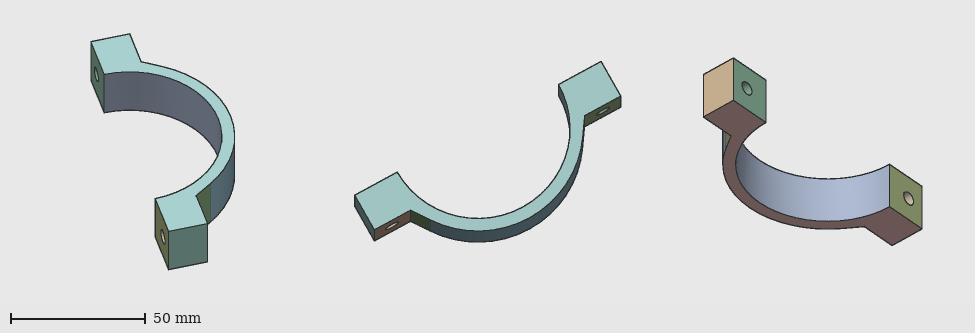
import cadquery as cq
import math

length = 104.8
width = 20.0
outer_radius = 39.1
inner_radius = 34.3
lug_depth = 15.1
flank_foot = 37.0
hole_diameter = 5.5
hole_inset = 7.5

half_length = length / 2
hole_x = half_length - hole_inset

foot_angle = math.atan2(lug_depth, flank_foot)
tangent_angle = foot_angle + math.acos(outer_radius / math.hypot(flank_foot, lug_depth))
tangent_x = outer_radius * math.cos(tangent_angle)
tangent_y = outer_radius * math.sin(tangent_angle)


def clamp_body():
    """Half-round band with a square lug at each end."""
    return (
        cq.Workplane("XY")
        .moveTo(-half_length, 0)
        .lineTo(-half_length, lug_depth)
        .lineTo(-flank_foot, lug_depth)
        .lineTo(-tangent_x, tangent_y)
        .threePointArc((0, outer_radius), (tangent_x, tangent_y))
        .lineTo(flank_foot, lug_depth)
        .lineTo(half_length, lug_depth)
        .lineTo(half_length, 0)
        .lineTo(inner_radius, 0)
        .threePointArc((0, inner_radius), (-inner_radius, 0))
        .close()
        .extrude(width / 2, both=True)
    )


def bolt_holes():
    """One hole along Y through each lug, centred across the width."""
    return (
        cq.Workplane("XZ")
        .pushPoints([(-hole_x, 0), (hole_x, 0)])
        .circle(hole_diameter / 2)
        .extrude(-lug_depth)
    )


result = clamp_body().cut(bolt_holes())